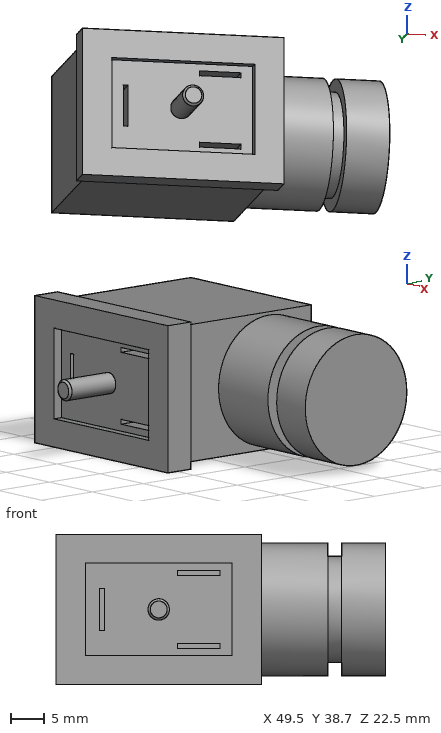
import cadquery as cq
import math


flange_width = 30.9
flange_height = 22.5
flange_thickness = 4.5
center_x = flange_width / 2

body_width = 27.9
body_height = 21.0
body_back_y = 29.5
body_right_x = center_x + body_width / 2

overall_length = 49.5
gland_diameter = 20.0
gland_axis_y = 21.25
groove_diameter = 16.0
groove_width = 2.05
nut_length = 6.65
nut_start_x = overall_length - nut_length
neck_end_x = nut_start_x - groove_width
cone_half_angle = 32.0

recess_width = 21.95
recess_height = 13.85
recess_depth = 1.5
slot_length = 6.35
slot_thickness = 0.75
slot_depth = 4.95
upright_slot_offset = 8.5
flat_slot_offset_x = 6.0
flat_slot_offset_z = 5.5

pin_diameter = 3.2
pin_protrusion = 7.45
pin_chamfer = 0.35


def block(width, height, start_y, end_y, x=center_x, z=0.0):
    """Box centred on (x, z) that spans start_y to end_y."""
    depth = end_y - start_y
    return cq.Workplane("XY").box(width, depth, height).translate((x, start_y + depth / 2, z))


def gland_cylinder(diameter, start_x, end_x):
    """Cylinder on the gland axis, running along X."""
    start = cq.Vector(start_x, gland_axis_y, 0)
    return cq.Workplane(
        cq.Solid.makeCylinder(diameter / 2, end_x - start_x, start, cq.Vector(1, 0, 0))
    )


def gland_cone():
    """Cone that tapers from the gland into the housing and bulges out of its back face."""
    radius = gland_diameter / 2
    length = radius / math.tan(math.radians(cone_half_angle))
    base = cq.Vector(body_right_x, gland_axis_y, 0)
    return cq.Workplane(cq.Solid.makeCone(radius, 0, length, base, cq.Vector(-1, 0, 0)))


def contact_slot(width, height, offset_x, offset_z):
    """Blind slot cut into the floor of the recess."""
    slot_end_y = recess_depth + slot_depth
    return block(width, height, recess_depth, slot_end_y, center_x + offset_x, offset_z)


def pin():
    """Pin that stands on the recess floor, with a chamfered tip."""
    length = recess_depth + pin_protrusion
    return (
        cq.Workplane("XZ", origin=(center_x, recess_depth, 0))
        .circle(pin_diameter / 2)
        .extrude(length)
        .faces("<Y")
        .chamfer(pin_chamfer)
    )


housing = block(flange_width, flange_height, 0, flange_thickness)
housing = housing.union(block(body_width, body_height, flange_thickness, body_back_y))

housing = housing.union(gland_cone())
housing = housing.union(gland_cylinder(gland_diameter, body_right_x, neck_end_x))
housing = housing.union(gland_cylinder(groove_diameter, neck_end_x, nut_start_x))
housing = housing.union(gland_cylinder(gland_diameter, nut_start_x, overall_length))

housing = housing.cut(block(recess_width, recess_height, 0, recess_depth))
housing = housing.cut(contact_slot(slot_thickness, slot_length, -upright_slot_offset, 0))
for side in (1, -1):
    flat_slot = contact_slot(
        slot_length, slot_thickness, flat_slot_offset_x, side * flat_slot_offset_z
    )
    housing = housing.cut(flat_slot)

result = housing.union(pin())